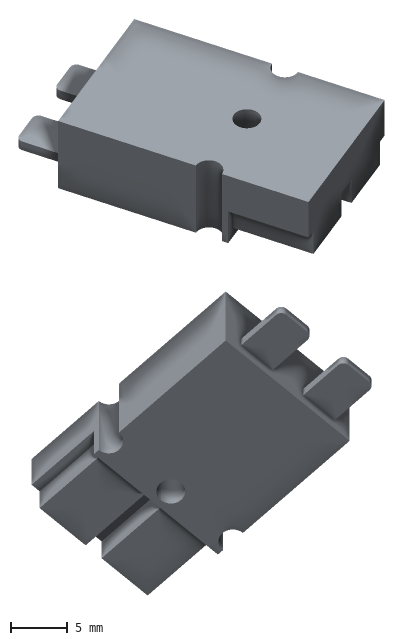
import cadquery as cq

TOTAL_LENGTH = 29.72
BLADE_LENGTH = 5.08
HOUSING_LENGTH = TOTAL_LENGTH - BLADE_LENGTH
TOTAL_WIDTH = 15.25
CONNECTOR_COUNT = 2
HOUSING_WIDTH = TOTAL_WIDTH / CONNECTOR_COUNT
HOUSING_HEIGHT = 7.88

MATING_LENGTH = 7.9
ROOF_THICKNESS = 4.15
TONGUE_INSET = 0.98
TONGUE_WIDTH = HOUSING_WIDTH - 2 * TONGUE_INSET
TONGUE_BOTTOM = 1.0
ROOF_BOTTOM = HOUSING_HEIGHT - ROOF_THICKNESS
TONGUE_HEIGHT = ROOF_BOTTOM - TONGUE_BOTTOM

GROOVE_RADIUS = 1.28
GROOVE_X = HOUSING_LENGTH - 9.8

BLADE_WIDTH = 3.83
BLADE_THICKNESS = 1.0
BLADE_BOTTOM = 1.25
BLADE_CORNER_RADIUS = 0.62


def box_from(x, z, length, width, height):
    """Box starting at x and z, centred across Y."""
    return cq.Workplane("XY").box(length, width, height, centered=(False, True, False)).translate((x, 0, z))


def make_blade():
    blade = box_from(-BLADE_LENGTH, BLADE_BOTTOM, BLADE_LENGTH, BLADE_WIDTH, BLADE_THICKNESS)
    return blade.faces("<X").edges("|Z").fillet(BLADE_CORNER_RADIUS)


def make_connector():
    """One housing with its blade and tongue, centred on Y = 0."""
    shoulder_x = HOUSING_LENGTH - MATING_LENGTH
    housing = box_from(0, 0, HOUSING_LENGTH, HOUSING_WIDTH, HOUSING_HEIGHT)
    step = box_from(shoulder_x, 0, MATING_LENGTH, HOUSING_WIDTH, ROOF_BOTTOM)
    tongue = box_from(shoulder_x, TONGUE_BOTTOM, MATING_LENGTH, TONGUE_WIDTH, TONGUE_HEIGHT)
    grooves = (
        cq.Workplane("XY")
        .pushPoints([(GROOVE_X, side * HOUSING_WIDTH / 2) for side in (-1, 1)])
        .circle(GROOVE_RADIUS)
        .extrude(HOUSING_HEIGHT)
    )
    return housing.cut(step).union(tongue).cut(grooves).union(make_blade())


connectors = []
for index in range(CONNECTOR_COUNT):
    offset = (index - (CONNECTOR_COUNT - 1) / 2) * HOUSING_WIDTH
    connectors.append(make_connector().translate((0, offset, 0)))

result = cq.Compound.makeCompound([connector.val() for connector in connectors])